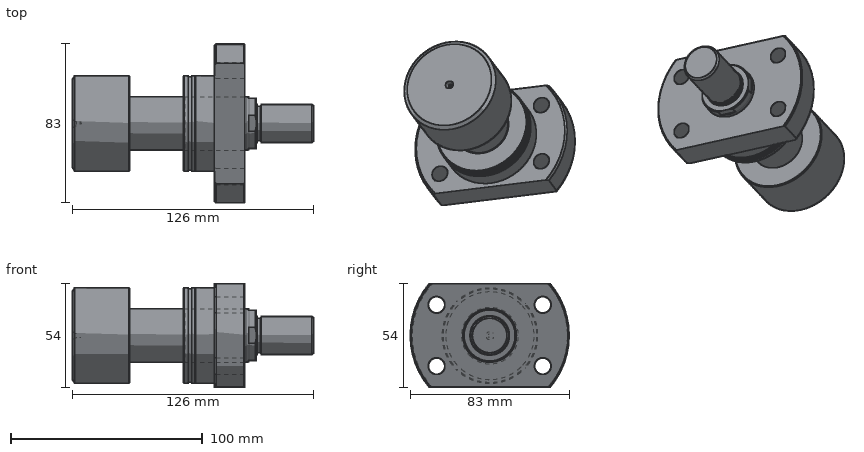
import cadquery as cq
import math

head_length = 29.8
cap_start = 57.8
cap_length = 6.3
flange_start = 74.0
flange_thickness = 16.0
flange_end = flange_start + flange_thickness
taper_start = 90.8
flats_start = 91.9
flats_end = 95.8
collar_end = 96.5
stud_start = 98.4
overall_length = 126.0

head_radius = 25.0
rod_radius = 14.0
stud_radius = 10.0
relief_radius = 9.1
relief_corner = 0.3
head_face_chamfer_radial = 2.0
head_face_chamfer_axial = head_face_chamfer_radial * math.tan(math.radians(30))
head_back_chamfer = 0.5
taper_drop = 0.15
flats_radius = rod_radius - taper_drop
flats_chamfer = 0.5
flats_across = 26.4
collar_chamfer = 0.3
stud_chamfer = 1.0

centre_mouth_radius = 2.1
centre_pilot_radius = 1.0
centre_cone_depth = (centre_mouth_radius - centre_pilot_radius) / math.tan(math.radians(30))
centre_pilot_end = centre_cone_depth + 2.0
centre_tip_end = centre_pilot_end + centre_pilot_radius * math.tan(math.radians(30))

collar_radius = 25.0
cap_end = cap_start + cap_length
cap_chamfer = 0.6
joint_chamfer = 0.2
bore_chamfer = 0.8
groove_start = 60.4
groove_end = 62.2
groove_depth = 0.5

flange_radius = 41.5
flange_height = 54.0
flange_front_chamfer = 1.0
flange_back_chamfer = 0.6
bolt_circle_radius = 32.0
bolt_hole_diameter = 8.5
bolt_angles = (30, 150, 210, 330)


def revolve_about_x(points):
    """Solid of revolution about X from (axial, radial) points."""
    return cq.Workplane("XY").polyline(points).close().revolve(360, (0, 0, 0), (1, 0, 0))


def rod_wrench_flats():
    """Square ring of material removed to leave four flats on the rod."""
    length = flats_end - flats_start
    return (
        cq.Workplane("YZ", origin=(flats_start, 0, 0))
        .rect(2 * rod_radius, 2 * rod_radius)
        .rect(flats_across, flats_across)
        .extrude(length)
    )


def make_rod():
    body = revolve_about_x([
        (0, 0),
        (0, head_radius - head_face_chamfer_radial),
        (head_face_chamfer_axial, head_radius),
        (head_length - head_back_chamfer, head_radius),
        (head_length, head_radius - head_back_chamfer),
        (head_length, rod_radius),
        (taper_start, rod_radius),
        (flats_start, flats_radius),
        (flats_end - flats_chamfer, flats_radius),
        (flats_end, flats_radius - flats_chamfer),
        (flats_end, stud_radius + collar_chamfer),
        (collar_end, stud_radius),
        (collar_end, relief_radius),
        (stud_start - relief_corner, relief_radius),
        (stud_start, relief_radius + relief_corner),
        (stud_start, stud_radius),
        (overall_length - stud_chamfer, stud_radius),
        (overall_length, stud_radius - stud_chamfer),
        (overall_length, 0),
    ])
    centre_drilling = revolve_about_x([
        (0, 0),
        (0, centre_mouth_radius),
        (centre_cone_depth, centre_pilot_radius),
        (centre_pilot_end, centre_pilot_radius),
        (centre_tip_end, 0),
    ])
    return body.cut(centre_drilling).cut(rod_wrench_flats())


def make_cap():
    groove_radius = collar_radius - groove_depth
    return revolve_about_x([
        (cap_start, rod_radius + bore_chamfer),
        (cap_start, collar_radius - cap_chamfer),
        (cap_start + cap_chamfer, collar_radius),
        (groove_start, collar_radius),
        (groove_start, groove_radius),
        (groove_end, groove_radius),
        (groove_end, collar_radius),
        (cap_end - joint_chamfer, collar_radius),
        (cap_end, collar_radius - joint_chamfer),
        (cap_end, rod_radius),
        (cap_start + bore_chamfer, rod_radius),
    ])


def make_flange():
    body = revolve_about_x([
        (cap_end, rod_radius),
        (cap_end, collar_radius - joint_chamfer),
        (cap_end + joint_chamfer, collar_radius),
        (flange_start, collar_radius),
        (flange_start, flange_radius - flange_front_chamfer),
        (flange_start + flange_front_chamfer, flange_radius),
        (flange_end - flange_back_chamfer, flange_radius),
        (flange_end, flange_radius - flange_back_chamfer),
        (flange_end, rod_radius),
    ])
    envelope = (
        cq.Workplane("YZ", origin=(cap_end, 0, 0))
        .rect(2 * flange_radius, flange_height)
        .extrude(flange_end - cap_end)
    )
    bolt_points = [
        (bolt_circle_radius * math.cos(math.radians(a)), bolt_circle_radius * math.sin(math.radians(a)))
        for a in bolt_angles
    ]
    bolt_holes = (
        cq.Workplane("YZ", origin=(flange_start, 0, 0))
        .pushPoints(bolt_points)
        .circle(bolt_hole_diameter / 2)
        .extrude(flange_thickness)
    )
    return body.intersect(envelope).cut(bolt_holes)


rod = make_rod()
cap = make_cap()
flange = make_flange()

result = cq.Compound.makeCompound([rod.val(), cap.val(), flange.val()])